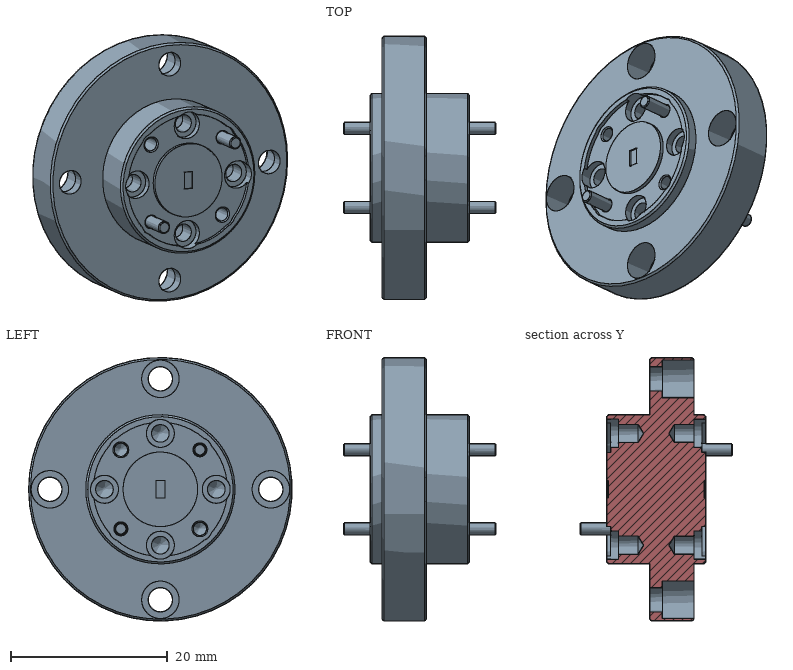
import cadquery as cq
import math

FLANGE_DIAMETER = 33.65
BOSS_DIAMETER = 19.05
BODY_LENGTH = 12.7
FLANGE_THICKNESS = 5.7
FRONT_BOSS_HEIGHT = 1.5
EDGE_CHAMFER = 0.252

FRONT_X = -BODY_LENGTH / 2
FLANGE_FRONT_X = FRONT_X + FRONT_BOSS_HEIGHT

RECESS_OUTER_DIAMETER = 17.13
RECESS_INNER_DIAMETER = 9.53
RECESS_DEPTH = 0.5
RELIEF_DIAMETER = 3.1

WINDOW_WIDTH = 1.18
WINDOW_HEIGHT = 2.2
WINDOW_DEPTH = 0.2

MOUNT_CIRCLE_RADIUS = 14.1
MOUNT_HOLE_DIAMETER = 3.05
MOUNT_BORE_DIAMETER = 4.78
MOUNT_BORE_DEPTH = 4.05

END_CIRCLE_RADIUS = 7.15
SCREW_HOLE_DIAMETER = 2.25
SCREW_HOLE_DEPTH = 4.05
SCREW_BORE_DIAMETER = 3.57
SCREW_BORE_DEPTH = 1.5
DRILL_POINT_ANGLE = 118.0

PIN_DIAMETER = 1.58
PIN_PROTRUSION = 3.35
PIN_SEAT_DEPTH = 3.35
PIN_CHAMFER = 0.15
SEAT_CHAMFER = 0.1

SOCKET_DIAMETER = 1.68
SOCKET_DEPTH = 4.05
SOCKET_CHAMFER = 0.17

QUARTER_ANGLES = [0, 90, 180, 270]
FRONT_PIN_ANGLES = [135, 315]
BACK_PIN_ANGLES = [45, 225]


def disc(start_x, length, diameter):
    """Cylinder along +X, centred on the X axis."""
    return cq.Workplane("YZ", origin=(start_x, 0, 0)).circle(diameter / 2).extrude(length)


def turn_to_back(part):
    """Carry a feature of the -X end to the +X end by a half turn about Z."""
    return part.rotate((0, 0, 0), (0, 0, 1), 180)


def place(part, radius, angle):
    """Move a feature from the X axis out to a polar position around it."""
    turn = math.radians(angle)
    return part.translate((0, radius * math.cos(turn), radius * math.sin(turn)))


def drilled_hole(start_x, depth, diameter):
    """Blind drilled hole along +X that ends in a conical drill point."""
    radius = diameter / 2
    point = radius / math.tan(math.radians(DRILL_POINT_ANGLE / 2))
    return (
        cq.Workplane("XY")
        .moveTo(start_x, 0)
        .lineTo(start_x, radius)
        .lineTo(start_x + depth, radius)
        .lineTo(start_x + depth + point, 0)
        .close()
        .revolve(360, (0, 0, 0), (1, 0, 0))
    )


def blank():
    boss = disc(FRONT_X, BODY_LENGTH, BOSS_DIAMETER).faces("<X or >X").chamfer(EDGE_CHAMFER)
    flange = disc(FLANGE_FRONT_X, FLANGE_THICKNESS, FLANGE_DIAMETER).faces("<X or >X").chamfer(EDGE_CHAMFER)
    return boss.union(flange)


def mount_hole():
    hole = disc(FLANGE_FRONT_X, FLANGE_THICKNESS, MOUNT_HOLE_DIAMETER)
    return hole.union(disc(FLANGE_FRONT_X, MOUNT_BORE_DEPTH, MOUNT_BORE_DIAMETER))


def end_recess():
    recess = disc(FRONT_X, RECESS_DEPTH, RECESS_OUTER_DIAMETER)
    for angle in FRONT_PIN_ANGLES + BACK_PIN_ANGLES:
        recess = recess.union(place(disc(FRONT_X, RECESS_DEPTH, RELIEF_DIAMETER), END_CIRCLE_RADIUS, angle))
    return recess.cut(disc(FRONT_X, RECESS_DEPTH, RECESS_INNER_DIAMETER))


def end_window():
    return cq.Workplane("YZ", origin=(FRONT_X, 0, 0)).rect(WINDOW_WIDTH, WINDOW_HEIGHT).extrude(WINDOW_DEPTH)


def screw_hole():
    hole = drilled_hole(FRONT_X, SCREW_HOLE_DEPTH, SCREW_HOLE_DIAMETER)
    return hole.union(disc(FRONT_X, SCREW_BORE_DEPTH, SCREW_BORE_DIAMETER))


def lead_in(hole_diameter, chamfer):
    """Conical chamfer at the mouth of a hole in the recess floor."""
    hole_radius = hole_diameter / 2
    mouth = cq.Vector(FRONT_X + RECESS_DEPTH, 0, 0)
    cone = cq.Solid.makeCone(hole_radius + chamfer, hole_radius, chamfer, mouth, cq.Vector(1, 0, 0))
    return cq.Workplane(cone)


def pin_socket():
    hole = drilled_hole(FRONT_X, SOCKET_DEPTH, SOCKET_DIAMETER)
    return hole.union(lead_in(SOCKET_DIAMETER, SOCKET_CHAMFER))


def pin_seat():
    return disc(FRONT_X, PIN_SEAT_DEPTH, PIN_DIAMETER).union(lead_in(PIN_DIAMETER, SEAT_CHAMFER))


def pin():
    length = PIN_PROTRUSION + PIN_SEAT_DEPTH
    return disc(FRONT_X - PIN_PROTRUSION, length, PIN_DIAMETER).faces("<X").chamfer(PIN_CHAMFER)


def end_cutters():
    """Everything cut into the -X end face; its blind sockets line up with the pins of the +X end."""
    cutters = [end_recess(), end_window()]
    cutters += [place(screw_hole(), END_CIRCLE_RADIUS, angle) for angle in QUARTER_ANGLES]
    cutters += [place(pin_seat(), END_CIRCLE_RADIUS, angle) for angle in FRONT_PIN_ANGLES]
    cutters += [place(pin_socket(), END_CIRCLE_RADIUS, angle) for angle in BACK_PIN_ANGLES]
    return cutters


def housing_body():
    body = blank()
    for angle in QUARTER_ANGLES:
        body = body.cut(place(mount_hole(), MOUNT_CIRCLE_RADIUS, angle))
    for cutter in end_cutters():
        body = body.cut(cutter).cut(turn_to_back(cutter))
    return body


housing = housing_body()
front_pins = [place(pin(), END_CIRCLE_RADIUS, angle) for angle in FRONT_PIN_ANGLES]
back_pins = [turn_to_back(front_pin) for front_pin in front_pins]

result = cq.Compound.makeCompound([housing.val(), *[pin_copy.val() for pin_copy in front_pins + back_pins]])